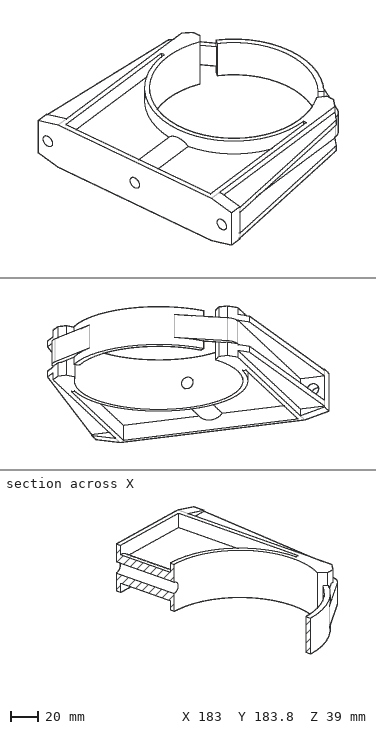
import cadquery as cq
import math

total_length = 183.8
foot_width = 183.0
body_height = 39.0
body_width = 145.2
bore_radius = 62.3
strap_thickness = 4.5
saddle_thickness = 3.7

body_top = 152.0
horn_outer_x = 66.5
horn_inner_x = 60.0
horn_tip_x = 55.1
wall_thickness = 4.0
web_thickness = 15.5
boss_radius = 12.0

foot_thickness = 10.0
foot_end_height = 29.8
rib_inner_z = 9.5
rib_thickness = 4.6
rib_top_overhang = 6.8

crown_height = 29.8
crown_end_angle = 40.0
strap_width = 18.0
strap_slope = 30.0
strap_bend_radius = 10.0
strap_embed = 5.5

hole_diameter = 9.0
mount_hole_x = 82.3

half_body = body_width / 2
half_foot = foot_width / 2
strap_radius = bore_radius + strap_thickness
saddle_radius = bore_radius + saddle_thickness
bore_y = total_length - strap_radius
shoulder_y = body_top - (half_body - horn_outer_x)
horn_tip_y = bore_y + math.sqrt(bore_radius**2 - horn_tip_x**2)


def centred_extrude(profile, height):
    """Extrude a closed XY profile equally to both sides of Z = 0."""
    return profile.extrude(height / 2, both=True)


def disc(radius, height):
    return centred_extrude(cq.Workplane("XY").center(0, bore_y).circle(radius), height)


def mirrored(solid):
    """Join a solid on the +X side with its mirror image."""
    return solid.union(solid.mirror("YZ"))


def make_body():
    """Block with an open saddle ending in two horns around the bore."""
    outline = (
        cq.Workplane("XY")
        .moveTo(-half_body, 0)
        .lineTo(half_body, 0)
        .lineTo(half_body, shoulder_y)
        .lineTo(horn_outer_x, body_top)
        .lineTo(horn_inner_x, body_top)
        .lineTo(horn_tip_x, horn_tip_y)
        .threePointArc((0, bore_y - bore_radius), (-horn_tip_x, horn_tip_y))
        .lineTo(-horn_inner_x, body_top)
        .lineTo(-horn_outer_x, body_top)
        .lineTo(-half_body, shoulder_y)
        .close()
    )
    return centred_extrude(outline, body_height)


def make_pockets():
    """Recesses on both faces, separated by a central web and its round boss."""
    pocket_length = bore_y - wall_thickness
    pocket = (
        cq.Workplane("XY")
        .center(0, wall_thickness + pocket_length / 2)
        .rect(body_width - 2 * wall_thickness, pocket_length)
    )
    pocket = centred_extrude(pocket, body_height).cut(disc(saddle_radius, body_height))
    web = cq.Workplane("XY").box(body_width, 2 * bore_y, web_thickness)
    boss = cq.Workplane("XZ").circle(boss_radius).extrude(-bore_y)
    return pocket.cut(web).cut(boss)


def make_foot():
    """Plates extending the base sideways, tapering in height."""
    foot_root_x = half_body - wall_thickness
    foot_end = (
        cq.Workplane("XZ")
        .moveTo(foot_root_x, -body_height / 2)
        .lineTo(half_body, -body_height / 2)
        .lineTo(half_foot, -foot_end_height / 2)
        .lineTo(half_foot, foot_end_height / 2)
        .lineTo(half_body, body_height / 2)
        .lineTo(foot_root_x, body_height / 2)
        .close()
        .extrude(-foot_thickness)
    )
    return mirrored(foot_end)


def make_ribs():
    """Two tapering ribs on each flank."""
    rib_root_x = half_body - wall_thickness
    rib = (
        cq.Workplane("XY", origin=(0, 0, rib_inner_z))
        .moveTo(rib_root_x, 0)
        .lineTo(half_foot, 0)
        .lineTo(half_foot, foot_thickness)
        .lineTo(half_body + rib_top_overhang, shoulder_y - rib_top_overhang)
        .lineTo(half_body, shoulder_y)
        .lineTo(rib_root_x, shoulder_y)
        .close()
        .extrude(rib_thickness)
    )
    return mirrored(rib.union(rib.mirror("XY")))


def make_crown():
    """Wide arc of the strap, with radial ends."""
    def at(radius, degrees):
        angle = math.radians(degrees)
        return (radius * math.cos(angle), bore_y + radius * math.sin(angle))

    far_end_angle = 180 - crown_end_angle
    profile = (
        cq.Workplane("XY")
        .moveTo(*at(bore_radius, crown_end_angle))
        .lineTo(*at(strap_radius, crown_end_angle))
        .threePointArc(at(strap_radius, 90), at(strap_radius, far_end_angle))
        .lineTo(*at(bore_radius, far_end_angle))
        .threePointArc(at(bore_radius, 90), at(bore_radius, crown_end_angle))
        .close()
    )
    return centred_extrude(profile, crown_height)


def make_strap_arms():
    """Narrow arms leaving the crown tangentially and bending into the horns."""
    slope = math.radians(strap_slope)
    normal = (math.sin(slope), math.cos(slope))
    tangent_y = bore_y + strap_radius * normal[1]
    corner_y = tangent_y - (half_body - strap_radius * normal[0]) * math.tan(slope)
    bend_x = half_body - strap_bend_radius
    bend_y = corner_y - strap_bend_radius * math.tan((math.pi / 2 - slope) / 2)
    middle = (math.pi / 2 - slope) / 2
    inner_bend = strap_bend_radius - strap_thickness

    def on_bend(radius, angle):
        return (bend_x + radius * math.cos(angle), bend_y + radius * math.sin(angle))

    arm = (
        cq.Workplane("XY")
        .moveTo(strap_radius * normal[0], tangent_y)
        .lineTo(*on_bend(strap_bend_radius, 2 * middle))
        .threePointArc(on_bend(strap_bend_radius, middle), on_bend(strap_bend_radius, 0))
        .lineTo(half_body, bend_y - strap_embed)
        .lineTo(half_body - strap_thickness, bend_y - strap_embed)
        .lineTo(*on_bend(inner_bend, 0))
        .threePointArc(on_bend(inner_bend, middle), on_bend(inner_bend, 2 * middle))
        .lineTo(bore_radius * normal[0], bore_y + bore_radius * normal[1])
        .close()
    )
    return mirrored(centred_extrude(arm, strap_width))


def make_holes():
    """Two mounting holes through the foot and a central hole into the bore."""
    mounts = (
        cq.Workplane("XZ")
        .pushPoints([(-mount_hole_x, 0), (mount_hole_x, 0)])
        .circle(hole_diameter / 2)
        .extrude(-foot_thickness)
    )
    centre = cq.Workplane("XZ").circle(hole_diameter / 2).extrude(-bore_y)
    return mounts.union(centre)


result = (
    make_body()
    .cut(make_pockets())
    .union(make_foot())
    .union(make_ribs())
    .union(make_crown())
    .union(make_strap_arms())
    .cut(make_holes())
)